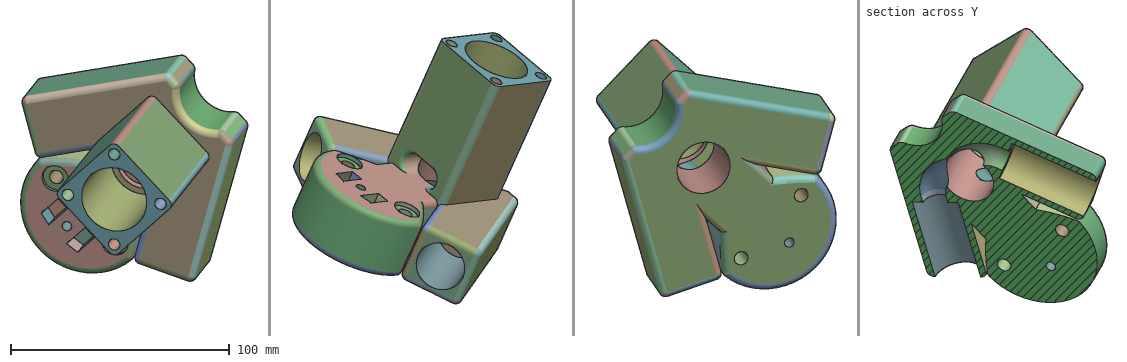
import cadquery as cq
import math


mirror_plane_angle = 45.0

plate_thickness = 30.0
edge_radius = 3.0
arm_angle = 30.0
arm_width = 30.0
arm_offset = 20.0
arm_end = 56.0
head_flat = 32.2
notch_centre = 40.2
notch_radius = 15.9
neck_half_width = 17.3
neck_end = -29.6
foot_centre = -45.0
foot_radius = 31.3
shoulder_rise = 0.6

arm_bore_diameter = 22.8
arm_bore_depth = 42.3
arm_passage_diameter = 12.4
arm_passage_length = 2.9
bend_radius = 16.1

post_side = 40.0
post_length = 65.0
post_corner_radius = 3.0
post_bore_diameter = 25.0
post_mouth_diameter = 30.8
post_mouth_depth = 50.0
post_screw_diameter = 5.5
post_screw_spacing = 31.1
post_screw_depth = 20.0

opening_width = 21.6
opening_height = 10.7
opening_edge_radius = 1.8

foot_screw_offset = 20.0
foot_screw_diameter = 6.5
foot_counterbore_diameter = 12.4
foot_counterbore_depth = 2.0
pin_hole_diameter = 4.5
pin_hole_place = foot_centre - 12.1
pocket_top = -50.9
pocket_inner_bottom = -63.3
pocket_outer_bottom = -62.2
pocket_inner_side = 6.0
pocket_outer_side = 12.2
pocket_depth = 10.0

SIDES = (1, -1)
QUARTER_TURN = 90
TOLERANCE = 0.01
ANGLE = math.radians(arm_angle)


def arm_point(along, across):
    """Point of the upper arm, measured along it from the post centre and outward across it."""
    return (
        across * math.sin(ANGLE) - along * math.cos(ANGLE),
        across * math.cos(ANGLE) + along * math.sin(ANGLE),
    )


def mirrored(point):
    return (point[0], -point[1])


def front_plane(y=0.0):
    """Sketch plane at the given Y; extruding by a negative length goes towards +Y."""
    return cq.Workplane("XZ", origin=(0, y, 0))


def make_plate():
    arm_inner = arm_offset - arm_width / 2
    arm_outer = arm_offset + arm_width / 2
    notch_corner = (head_flat, math.sqrt(notch_radius**2 - (notch_centre - head_flat) ** 2))
    head_corner = (head_flat, (arm_outer - head_flat * math.sin(ANGLE)) / math.cos(ANGLE))
    arm_corners = [arm_point(arm_end, arm_outer), arm_point(arm_end, arm_inner)]
    armpit = ((arm_inner - neck_half_width * math.cos(ANGLE)) / math.sin(ANGLE), neck_half_width)
    neck_corner = (neck_end, neck_half_width)
    foot_corner = (foot_centre, foot_radius)
    chord = (foot_corner[0] - neck_corner[0], foot_corner[1] - neck_corner[1])
    chord_length = math.hypot(*chord)
    shoulder = (
        (neck_corner[0] + foot_corner[0]) / 2 + shoulder_rise * chord[1] / chord_length,
        (neck_corner[1] + foot_corner[1]) / 2 - shoulder_rise * chord[0] / chord_length,
    )
    outline = front_plane().moveTo(*notch_corner).lineTo(*head_corner)
    for point in arm_corners + [armpit, neck_corner]:
        outline = outline.lineTo(*point)
    outline = outline.threePointArc(shoulder, foot_corner)
    outline = outline.threePointArc((foot_centre - foot_radius, 0), mirrored(foot_corner))
    outline = outline.threePointArc(mirrored(shoulder), mirrored(neck_corner))
    for point in [armpit] + arm_corners[::-1] + [head_corner, notch_corner]:
        outline = outline.lineTo(*mirrored(point))
    outline = outline.threePointArc((notch_centre - notch_radius, 0), notch_corner).close()
    plate = outline.extrude(-plate_thickness)

    outer_corners = plate.edges("|Y").filter(
        lambda edge: abs(abs(edge.Center().z) - neck_half_width) > TOLERANCE
    )
    return outer_corners.add(plate.faces("<Y or >Y").edges()).fillet(edge_radius)


def make_post():
    post = front_plane(plate_thickness / 2).rect(post_side, post_side)
    post = post.extrude(post_length + plate_thickness / 2)
    return post.edges("|Y").fillet(post_corner_radius)


def cut_post_bores(body):
    total_length = post_length + plate_thickness
    bore = front_plane(-post_length).circle(post_bore_diameter / 2).extrude(-total_length)
    mouth = front_plane(-post_length).circle(post_mouth_diameter / 2).extrude(-post_mouth_depth)
    screws = (
        front_plane(-post_length)
        .rect(post_screw_spacing, post_screw_spacing, forConstruction=True)
        .vertices()
        .circle(post_screw_diameter / 2)
        .extrude(-post_screw_depth)
    )
    return body.cut(bore).cut(mouth).cut(screws)


def cut_arm_bores(body):
    x, z = arm_point(arm_end, arm_offset)
    end_face = cq.Plane(
        origin=(x, plate_thickness / 2, z),
        xDir=(-math.sin(ANGLE), 0, -math.cos(ANGLE)),
        normal=(math.cos(ANGLE), 0, -math.sin(ANGLE)),
    )
    passage_depth = arm_bore_depth + arm_passage_length
    passage = cq.Workplane(end_face).circle(arm_passage_diameter / 2).extrude(passage_depth)
    bend = (
        cq.Workplane(end_face)
        .workplane(offset=passage_depth)
        .circle(arm_passage_diameter / 2)
        .revolve(QUARTER_TURN, (bend_radius, 0), (bend_radius, 1))
    )
    bore = cq.Workplane(end_face).circle(arm_bore_diameter / 2).extrude(arm_bore_depth)
    bore = bore.union(passage).union(bend)
    return body.cut(bore).cut(bore.mirror("XY"))


def cut_opening(post):
    opening = (
        cq.Workplane("YZ", origin=(-post_side / 2, 0, 0))
        .center(-opening_height / 2, 0)
        .slot2D(opening_width, opening_height, QUARTER_TURN)
        .extrude(post_side / 2)
    )
    post = post.cut(opening)
    mouth = post.faces("<X").val().innerWires()[0]
    return post.newObject(mouth.Edges()).fillet(opening_edge_radius)


def cut_foot_details(body):
    pin_hole = front_plane().center(pin_hole_place, 0).circle(pin_hole_diameter / 2)
    body = body.cut(pin_hole.extrude(-plate_thickness))
    for side in SIDES:
        place = front_plane().center(foot_centre, side * foot_screw_offset)
        body = body.cut(place.circle(foot_screw_diameter / 2).extrude(-plate_thickness))
        body = body.cut(place.circle(foot_counterbore_diameter / 2).extrude(-foot_counterbore_depth))
        pocket = front_plane().polyline(
            [
                (pocket_top, side * pocket_inner_side),
                (pocket_top, side * pocket_outer_side),
                (pocket_outer_bottom, side * pocket_outer_side),
                (pocket_inner_bottom, side * pocket_inner_side),
            ]
        )
        body = body.cut(pocket.close().extrude(-pocket_depth))
    return body


body = make_plate().union(cut_opening(make_post()))
body = cut_post_bores(body)
body = cut_arm_bores(body)
body = cut_foot_details(body)
result = body.rotate((0, 0, 0), (0, -1, 0), mirror_plane_angle)